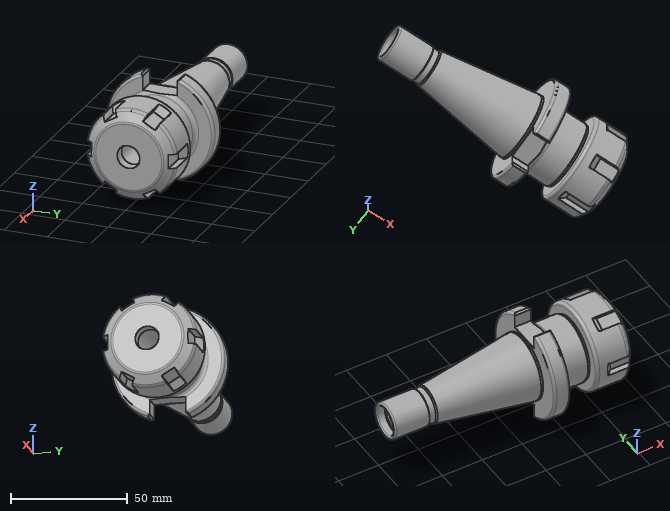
import cadquery as cq
import math

length = 113.5

shank_radius = 8.7
shank_end_x = 17.3
shank_fillet = 0.7
neck_radius = 8.4
neck_end_x = 20.5
taper_start_x = 21.2
taper_ratio = 7 / 48
taper_end_x = 68.8
body_radius = 15.9
relief_radius = 15.8
taper_start_radius = body_radius - taper_ratio * (taper_end_x - taper_start_x)

flange_start_x = 69.9
flange_end_x = 78.1
flange_radius = 25.1
flange_fillet = 1.2
flange_root_fillet = 2.0
drive_slot_width = 16.0
drive_slot_floor = 16.2
drive_slot_chamfer = 1.0

body_end_x = 92.6
body_end_chamfer = 0.3
nose_radius = 15.4
nose_end_x = 108.6

bore_radius = 5.2
entry_radius = 6.9
entry_fillet = 0.6
entry_depth = 4.1
recess_radius = 6.5
thread_radius = 6.0
thread_start_x = 5.5
thread_end_x = 6.4

nut_start_x = 93.5
nut_radius = 21.0
nut_back_fillet = 1.5
nut_corner_x = 110.0
nut_cone_angle = 56.0
nut_shoulder_fillet = 2.0
nut_front_fillet = 1.7

spanner_slot_count = 6
spanner_slot_width = 6.5
spanner_slot_floor = 17.8
near_slot_start_x = 99.4
far_slot_start_x = 97.4
slot_clearance = 1.1


def revolve_about_x(profile):
    """Turn a closed outline, drawn as (x, radius), about the X axis."""
    return profile.close().revolve(360, (0, 0, 0), (1, 0, 0))


def cylinder(start_x, end_x, radius):
    """Cylinder along the X axis."""
    return cq.Workplane("YZ", origin=(start_x, 0, 0)).circle(radius).extrude(end_x - start_x)


def make_entry_bore():
    """Stepped hole that opens the shank end, down to the plain bore."""
    recess_start_x = entry_depth + entry_radius - recess_radius
    bore_start_x = thread_end_x + thread_radius - bore_radius
    profile = (
        cq.Workplane("XZ")
        .moveTo(0, 0)
        .lineTo(0, entry_radius + entry_fillet)
        .radiusArc((entry_fillet, entry_radius), -entry_fillet)
        .lineTo(entry_depth, entry_radius)
        .lineTo(recess_start_x, recess_radius)
        .lineTo(thread_start_x, thread_radius)
        .lineTo(thread_end_x, thread_radius)
        .lineTo(bore_start_x, bore_radius)
        .lineTo(bore_start_x, 0)
    )
    return revolve_about_x(profile)


def make_shank_and_taper():
    """Shank, neck, taper, relief groove, and the body up to the end of the nose."""
    relief_depth = body_radius - relief_radius
    profile = (
        cq.Workplane("XZ")
        .moveTo(0, 0)
        .lineTo(0, shank_radius - shank_fillet)
        .radiusArc((shank_fillet, shank_radius), shank_fillet)
        .lineTo(shank_end_x, shank_radius)
        .lineTo(shank_end_x + shank_radius - neck_radius, neck_radius)
        .lineTo(neck_end_x, neck_radius)
        .lineTo(taper_start_x, taper_start_radius)
        .lineTo(taper_end_x, body_radius)
        .lineTo(taper_end_x + relief_depth, relief_radius)
        .lineTo(flange_start_x - relief_depth, relief_radius)
        .lineTo(flange_start_x, body_radius)
        .lineTo(body_end_x - body_end_chamfer, body_radius)
        .lineTo(body_end_x, body_radius - body_end_chamfer)
        .lineTo(body_end_x, nose_radius)
        .lineTo(nose_end_x, nose_radius)
        .lineTo(nose_end_x, 0)
    )
    return revolve_about_x(profile)


def make_flange():
    """Round flange with rounded rims, before its drive slots are cut."""
    return cylinder(flange_start_x, flange_end_x, flange_radius).edges("%CIRCLE").fillet(flange_fillet)


def make_flange_root():
    """Concave fillet between the flange and the body."""
    root_end_x = flange_end_x + flange_root_fillet
    profile = (
        cq.Workplane("XZ")
        .moveTo(flange_end_x, 0)
        .lineTo(flange_end_x, body_radius + flange_root_fillet)
        .radiusArc((root_end_x, body_radius), -flange_root_fillet)
        .lineTo(root_end_x, 0)
    )
    return revolve_about_x(profile)


def make_drive_slot():
    """Cutter for the upper drive slot, flared where it leaves the flange rim."""
    half_width = drive_slot_width / 2
    rim_z = math.sqrt(flange_radius**2 - half_width**2)
    wall_end_z = rim_z - drive_slot_chamfer
    rim_slope = math.asin(half_width / flange_radius)
    chamfer_run = drive_slot_chamfer * math.cos(rim_slope)
    chamfer_rise = drive_slot_chamfer * (1 - math.sin(rim_slope))
    opening_half_width = half_width + chamfer_run / chamfer_rise * (flange_radius - wall_end_z)
    outline = [
        (-half_width, drive_slot_floor),
        (half_width, drive_slot_floor),
        (half_width, wall_end_z),
        (opening_half_width, flange_radius),
        (-opening_half_width, flange_radius),
        (-half_width, wall_end_z),
    ]
    slot_length = flange_end_x + flange_root_fillet - flange_start_x
    return cq.Workplane("YZ", origin=(flange_start_x, 0, 0)).polyline(outline).close().extrude(slot_length)


def make_holder():
    """Tool holder: shank, taper, slotted drive flange and nose in one body."""
    upper_slot = make_drive_slot()
    lower_slot = upper_slot.rotate((0, 0, 0), (1, 0, 0), 180)
    flange = make_flange().union(make_flange_root()).cut(upper_slot).cut(lower_slot)
    holder = make_shank_and_taper().union(flange)
    return holder.cut(make_entry_bore()).cut(cylinder(0, length, bore_radius))


def make_nut_blank():
    """Round nut: cylinder with a conical front and rounded edges."""
    slope = math.tan(math.radians(nut_cone_angle))
    face_radius = nut_radius - slope * (length - nut_corner_x)
    profile = (
        cq.Workplane("XZ")
        .moveTo(nut_start_x, 0)
        .lineTo(nut_start_x, nut_radius)
        .lineTo(nut_corner_x, nut_radius)
        .lineTo(length, face_radius)
        .lineTo(length, 0)
    )
    blank = revolve_about_x(profile)
    shoulder = cq.selectors.NearestToPointSelector((nut_corner_x, 0, 0))
    blank = blank.edges(shoulder).fillet(nut_shoulder_fillet)
    blank = blank.faces("<X").edges().fillet(nut_back_fillet)
    return blank.faces(">X").edges().fillet(nut_front_fillet)


def make_spanner_slot(start_x, angle):
    """Cutter for one slot with a 45 degree ramp at its back, turned from -Y about the X axis."""
    half_width = spanner_slot_width / 2
    rim = math.sqrt(nut_radius**2 - half_width**2)
    floor_start_x = start_x + rim - spanner_slot_floor
    outer_reach = nut_radius + slot_clearance
    outline = [
        (start_x + rim - outer_reach, -outer_reach),
        (floor_start_x, -spanner_slot_floor),
        (length, -spanner_slot_floor),
        (length, -outer_reach),
    ]
    slot = cq.Workplane("XY").polyline(outline).close().extrude(half_width, both=True)
    return slot.rotate((0, 0, 0), (1, 0, 0), angle)


def make_nut():
    """Clamping nut: socket for the nose, bore in its front wall, and spanner slots around it."""
    nut = make_nut_blank()
    nut = nut.cut(cylinder(nut_start_x, nose_end_x, nose_radius))
    nut = nut.cut(cylinder(nose_end_x, length, bore_radius))
    for index in range(spanner_slot_count):
        angle = index * 360 / spanner_slot_count
        on_near_half = math.cos(math.radians(angle)) > 0
        start_x = near_slot_start_x if on_near_half else far_slot_start_x
        nut = nut.cut(make_spanner_slot(start_x, angle))
    return nut


holder = make_holder()
nut = make_nut()

result = cq.Compound.makeCompound([holder.solids().val(), nut.solids().val()])